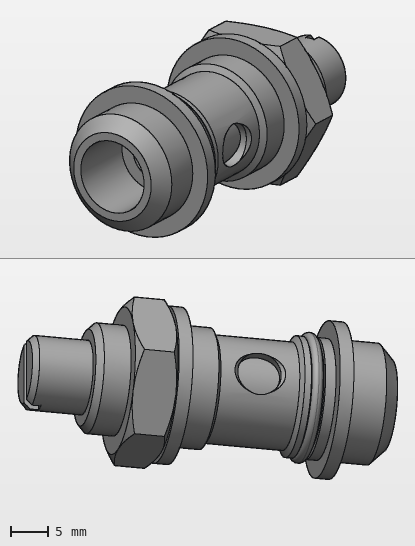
import cadquery as cq
import math

length = 50.2

land_radius = 8.3
mouth_chamfer = 2.0
waist_radius = 7.4
waist_start = 13.85
waist_end = 24.8
shoulder_length = 0.5

flange_radius = 10.7
flange_thickness = 1.9
front_flange_start = 7.15
rear_flange_start = 29.45

hex_corners = 23.1
hex_start = rear_flange_start + flange_thickness
hex_width = 5.9
hex_end = hex_start + hex_width
hex_chamfer_angle = 30.0

collar_radius = 7.55
collar_end = 41.95
collar_chamfer = 0.95

stub_radius = 5.05
stub_chamfer = 0.8
slot_width = 1.35
slot_depth = 2.0

bore_radius = 5.1
barrel_radius = 5.9
barrel_start = 10.05
barrel_end = 29.1
socket_radius = 3.3
socket_depth = 4.0

cross_hole_radius = 3.0
cross_hole_y = (waist_start + waist_end) / 2
cross_hole_chamfer = 0.5

groove_start = 10.5
groove_end = 12.45
groove_radius = 7.55
bead_section_radius = 0.75
bead_outer_radius = 8.9
bead_center_radius = bead_outer_radius - bead_section_radius
bead_y = 11.55


def cylinder(radius, start, end):
    """Round bar along +Y between two Y positions."""
    return cq.Workplane("XZ", origin=(0, start, 0)).circle(radius).extrude(start - end)


def make_turned_body():
    """Lands, waist and collar, turned as one profile about Y."""
    profile = [
        (0, 0),
        (land_radius - mouth_chamfer, 0),
        (land_radius, mouth_chamfer),
        (land_radius, groove_start),
        (groove_radius, groove_start),
        (groove_radius, groove_end),
        (land_radius, groove_end),
        (land_radius, waist_start - shoulder_length),
        (waist_radius, waist_start),
        (waist_radius, waist_end),
        (land_radius, waist_end + shoulder_length),
        (land_radius, hex_start),
        (collar_radius, hex_start),
        (collar_radius, collar_end - collar_chamfer),
        (collar_radius - collar_chamfer, collar_end),
        (0, collar_end),
    ]
    return cq.Workplane("XY").polyline(profile).close().revolve(360, (0, 0), (0, 1))


def make_hexagon():
    """Hexagon with corners on X, its corners chamfered by cones at both ends."""
    prism = cq.Workplane("XZ", origin=(0, hex_start, 0)).polygon(6, hex_corners).extrude(-hex_width)
    corner_radius = hex_corners / 2
    face_radius = corner_radius * math.cos(math.radians(30))
    drop = (corner_radius - face_radius) * math.tan(math.radians(hex_chamfer_angle))
    envelope_profile = [
        (0, hex_start),
        (face_radius, hex_start),
        (corner_radius, hex_start + drop),
        (corner_radius, hex_end - drop),
        (face_radius, hex_end),
        (0, hex_end),
    ]
    envelope = cq.Workplane("XY").polyline(envelope_profile).close().revolve(360, (0, 0), (0, 1))
    return prism.intersect(envelope)


def make_cross_hole():
    """Hole through the waist along X, with a 45 degree countersink at each end."""
    countersink_radius = cross_hole_radius + cross_hole_chamfer
    profile = [
        (-waist_radius, 0),
        (-waist_radius, countersink_radius),
        (-waist_radius + cross_hole_chamfer, cross_hole_radius),
        (waist_radius - cross_hole_chamfer, cross_hole_radius),
        (waist_radius, countersink_radius),
        (waist_radius, 0),
    ]
    hole = cq.Workplane("XY").polyline(profile).close().revolve(360, (0, 0), (1, 0))
    return hole.translate((0, cross_hole_y, 0))


def make_bead():
    """Round-section bead around the groove."""
    section = cq.Workplane("XY").center(bead_center_radius, bead_y).circle(bead_section_radius)
    return section.revolve(360, (-bead_center_radius, 0), (-bead_center_radius, 1))


def make_housing():
    """Bolt-like sleeve with its hexagon, flanges and sealing bead."""
    housing = make_turned_body().union(make_hexagon()).union(make_bead())
    for start in (front_flange_start, rear_flange_start):
        housing = housing.union(cylinder(flange_radius, start, start + flange_thickness))
    housing = housing.cut(cylinder(bore_radius, 0, barrel_start))
    housing = housing.cut(cylinder(barrel_radius, barrel_start, barrel_end))
    housing = housing.cut(cylinder(stub_radius, barrel_end, collar_end))
    return housing.cut(make_cross_hole())


def make_slot():
    """Screwdriver slot across the stub end, running along Z."""
    cutter = cq.Workplane("XY").box(slot_width, slot_depth, 2 * stub_radius)
    return cutter.translate((0, length - slot_depth / 2, 0))


def make_spindle():
    """Adjusting spindle: barrel behind the cross hole, stub out of the collar."""
    profile = [
        (0, barrel_start + socket_depth),
        (socket_radius, barrel_start + socket_depth),
        (socket_radius, barrel_start),
        (barrel_radius, barrel_start),
        (barrel_radius, barrel_end),
        (stub_radius, barrel_end),
        (stub_radius, length - stub_chamfer),
        (stub_radius - stub_chamfer, length),
        (0, length),
    ]
    spindle = cq.Workplane("XY").polyline(profile).close().revolve(360, (0, 0), (0, 1))
    return spindle.cut(make_slot())


housing = make_housing()
spindle = make_spindle()
result = cq.Compound.makeCompound([housing.solids().val(), spindle.solids().val()])